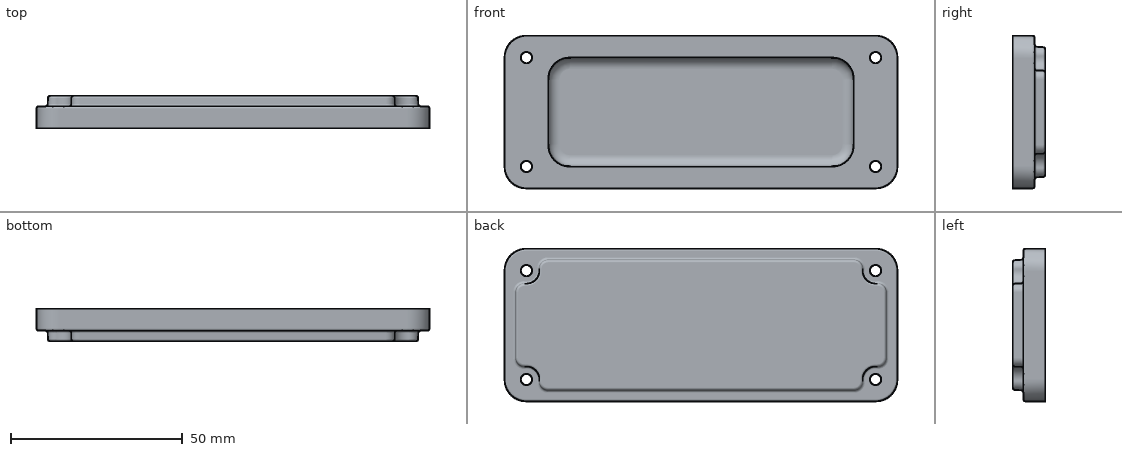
import cadquery as cq

length = 114.3
width = 44.5
overall_depth = 9.5

draft = 3.0

plate_depth = 6.4
corner_radius = 6.4
edge_radius = 0.7

hole_diameter = 3.2
hole_x = length / 2 - corner_radius
hole_z = width / 2 - corner_radius

pad_height = overall_depth - plate_depth
pad_inset = 3.2
pad_half_length = length / 2 - pad_inset
pad_half_width = width / 2 - pad_inset
scoop_radius = 3.8
scoop_blend_radius = 2.5

pocket_length = 88.9
pocket_width = 31.8
pocket_depth = 6.4
pocket_corner_radius = 6.4
pocket_floor_radius = 3.2


def at_holes(depth, diameter):
    """Cylinders along Y at the four screw positions."""
    return (
        cq.Workplane("XZ")
        .rect(2 * hole_x, 2 * hole_z, forConstruction=True)
        .vertices()
        .circle(diameter / 2)
        .extrude(-depth)
    )


def make_plate():
    block = cq.Workplane("XZ").rect(length, width).extrude(-plate_depth)
    plate = block.edges("|Y").fillet(corner_radius)
    return plate.faces(">Y").edges().fillet(edge_radius)


def make_pad():
    block = (
        cq.Workplane("XZ")
        .rect(2 * pad_half_length, 2 * pad_half_width)
        .extrude(-pad_height, taper=draft)
    )
    scooped = block.cut(at_holes(pad_height, 2 * scoop_radius))

    tip_size = 2 * (corner_radius - pad_inset)
    tips = (
        cq.Workplane("XZ")
        .rect(2 * pad_half_length, 2 * pad_half_width, forConstruction=True)
        .vertices()
        .rect(tip_size, tip_size)
        .extrude(-pad_height)
    )
    blended = scooped.cut(tips).edges("not(<Y or >Y)").fillet(scoop_blend_radius)
    rounded_pad = blended.faces(">Y").edges().fillet(edge_radius)
    return rounded_pad.translate((0, plate_depth, 0))


def pad_root_edges(body):
    """Edges on the back of the plate where the pad rises from it."""
    margin = pad_inset / 2
    reach = edge_radius / 2
    root_zone = cq.selectors.BoxSelector(
        (-length / 2 + margin, plate_depth - reach, -width / 2 + margin),
        (length / 2 - margin, plate_depth + reach, width / 2 - margin),
    )
    return body.edges(root_zone)


def make_pocket():
    opening = cq.Sketch().rect(pocket_length, pocket_width).vertices().fillet(pocket_corner_radius)
    pocket = cq.Workplane("XZ").placeSketch(opening).extrude(-pocket_depth, taper=draft)
    return pocket.faces(">Y").edges().fillet(pocket_floor_radius)


body = make_plate().union(make_pad())
body = pad_root_edges(body).fillet(edge_radius)
result = body.cut(make_pocket()).cut(at_holes(overall_depth, hole_diameter))